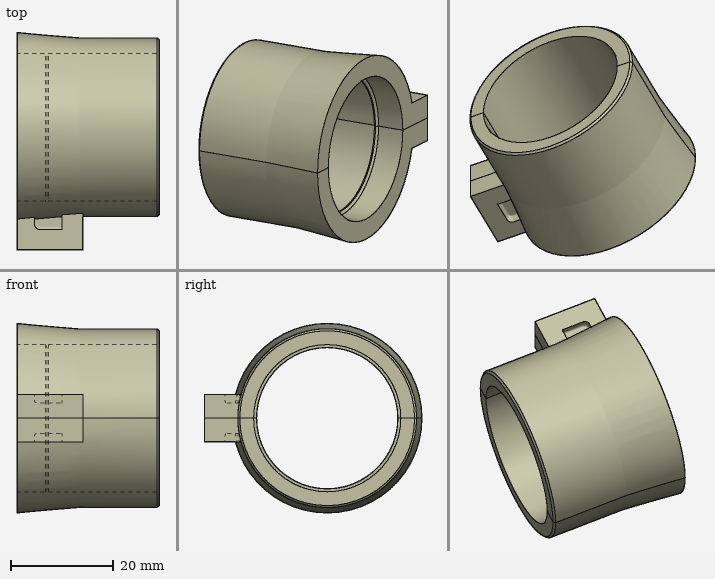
import cadquery as cq

length = 27.8
body_radius = 17.5
mouth_radius = 18.555
flare_length = 12.2
flare_sag = 0.05
end_chamfer = 0.4
bore_radius = 14.4

ridge_start = 5.5
ridge_height = 0.6
ridge_ramp = 0.35
ridge_land = 0.25

lug_length = 12.85
lug_reach = 24.015
lug_half_height = 4.65

pocket_start = 3.4
pocket_end = 8.8
pocket_reach = 20.0
pocket_floor = 3.0
pocket_corner = 1.0
pocket_floor_round = 0.4


def revolve_about_x(profile):
    return profile.close().revolve(360, (0, 0, 0), (1, 0, 0))


def sleeve_outside():
    """Solid of revolution with a slightly hollow flare running into a cylinder."""
    flare_middle = (flare_length / 2, (mouth_radius + body_radius) / 2 - flare_sag)
    profile = (
        cq.Workplane("XY")
        .lineTo(0, mouth_radius)
        .threePointArc(flare_middle, (flare_length, body_radius))
        .lineTo(length, body_radius)
        .lineTo(length, 0)
    )
    return revolve_about_x(profile).faces(">X").edges().chamfer(end_chamfer)


def bore():
    """Plain bore narrowed by a ridge with a ramped front and a square back."""
    ridge_radius = bore_radius - ridge_height
    land_start = ridge_start + ridge_ramp
    land_end = land_start + ridge_land
    profile = (
        cq.Workplane("XY")
        .lineTo(0, bore_radius)
        .lineTo(ridge_start, bore_radius)
        .lineTo(land_start, ridge_radius)
        .lineTo(land_end, ridge_radius)
        .lineTo(land_end, bore_radius)
        .lineTo(length, bore_radius)
        .lineTo(length, 0)
    )
    return revolve_about_x(profile)


def upper_lug():
    lug_corner = cq.Workplane("XY", origin=(0, -lug_reach, 0))
    return lug_corner.box(lug_length, lug_reach, lug_half_height, centered=False)


def pocket():
    """Cutter for the pocket, rounded at its outer corner nearest the mouth and along its floor."""
    cutter = (
        cq.Workplane("XY", origin=(0, 0, pocket_floor))
        .moveTo(pocket_start, 0)
        .lineTo(pocket_start, -pocket_reach)
        .lineTo(pocket_end, -pocket_reach)
        .lineTo(pocket_end, 0)
        .close()
        .extrude(lug_half_height - pocket_floor)
    )
    cutter = cutter.edges("|Z and <X and <Y").fillet(pocket_corner)
    return cutter.faces("<Z").edges("<Y").fillet(pocket_floor_round)


def upper_shell():
    upper_space = cq.Workplane("XY").box(
        length, 2 * lug_reach, mouth_radius, centered=(False, True, False)
    )
    lug = upper_lug().cut(pocket())
    return sleeve_outside().intersect(upper_space).union(lug).cut(bore())


upper = upper_shell()
lower = upper.mirror("XY")

result = cq.Compound.makeCompound([upper.val(), lower.val()])